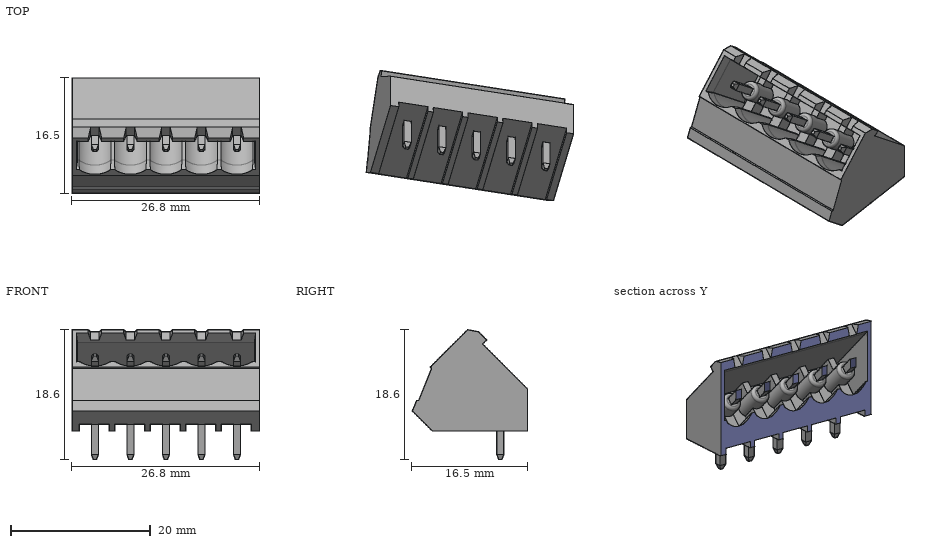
import cadquery as cq
import math

ROOT2 = math.sqrt(2)

housing_length = 26.8
position_count = 5
row_length = 20.31
pitch = row_length / (position_count - 1)
position_xs = [(i - (position_count - 1) / 2) * pitch for i in range(position_count)]

back_height = 6.0
slope_run = 6.43
lip_step = 0.6
lip_run = 1.18
rim_top_y = -8.58
rim_top_z = 14.5
rim_run = 5.35
front_top_y = -13.75
front_top_z = 8.95
ledge_z = 4.4
ledge_inner_y = -15.6
ledge_outer_y = -15.87
nose_y = -16.5
nose_z = 2.87

pin_width = 1.05
pin_tip_width = 0.45
pin_tip_length = 0.75
pin_leg_y = -3.9
pin_bottom_z = -4.1
pin_bend_z = 4.4
bend_to_rim = ((rim_top_z - rim_top_y) - (pin_bend_z - pin_leg_y)) / ROOT2
pin_tip_depth = 1.29
tip_taper = math.degrees(math.atan((pin_width - pin_tip_width) / 2 / pin_tip_length))

pocket_depth = 11.25
pocket_length = 25.27
pocket_top = 2.97
pocket_bottom = -2.39
lead_in_depth = 1.77
lead_in_growth = 0.2

scallop_radius = 3.03
scallop_center = -0.4
scallop_growth = 0.08

boss_diameter = 2.75
boss_top_depth = 6.35
boss_round = 0.48
rib_height = 2.57
upper_rib_width = 1.02
lower_rib_width = 1.5
rib_shift = -0.095

notch_depth = 1.29
notch_floor_width = 1.2
notch_rim_width = 1.93

channel_width = 4.25
channel_height = 0.95


def mating_plane(depth=0.0, x=0.0):
    """Plane parallel to the mating face, with its origin on the row of pin axes."""
    reach = (bend_to_rim - depth) / ROOT2
    origin = (x, pin_leg_y - reach, pin_bend_z + reach)
    return cq.Plane(origin=origin, xDir=(1, 0, 0), normal=(0, -1, 1))


def make_body():
    """Solid block with the housing side outline along its whole length."""
    lip_inner = (-slope_run, back_height + slope_run)
    lip_outer = (lip_inner[0] + lip_step, lip_inner[1] + lip_step)
    outline = [
        (0, 0),
        (0, back_height),
        lip_inner,
        lip_outer,
        (lip_outer[0] - lip_run, lip_outer[1] + lip_run),
        (rim_top_y, rim_top_z),
        (rim_top_y - rim_run, rim_top_z - rim_run),
        (front_top_y, front_top_z),
        (ledge_inner_y, ledge_z),
        (ledge_outer_y, ledge_z),
        (nose_y, nose_z),
        (nose_y + nose_z, 0),
    ]
    return cq.Workplane("YZ").polyline(outline).close().extrude(housing_length / 2, both=True)


def make_plain_pocket():
    """Rectangular pocket with straight walls up to a lead-in that flares to the mating face."""
    middle = (pocket_top + pocket_bottom) / 2
    height = pocket_top - pocket_bottom
    straight = (
        cq.Workplane(mating_plane(pocket_depth))
        .center(0, middle)
        .rect(pocket_length, height)
        .extrude(pocket_depth - lead_in_depth)
    )
    flare = (
        cq.Workplane(mating_plane(lead_in_depth))
        .center(0, middle)
        .rect(pocket_length, height)
        .workplane(offset=lead_in_depth)
        .rect(pocket_length + 2 * lead_in_growth, height + 2 * lead_in_growth)
        .loft(ruled=True)
    )
    return straight.union(flare)


def make_scallop(x):
    """Round channel with a flared mouth, kept only below the flat lower wall of the pocket."""
    straight = (
        cq.Workplane(mating_plane(pocket_depth, x))
        .center(0, scallop_center)
        .circle(scallop_radius)
        .extrude(pocket_depth - lead_in_depth)
    )
    flare = (
        cq.Workplane(mating_plane(lead_in_depth, x))
        .center(0, scallop_center)
        .circle(scallop_radius)
        .workplane(offset=lead_in_depth)
        .circle(scallop_radius + scallop_growth)
        .loft(ruled=True)
    )
    side = 4 * scallop_radius
    below_wall = (
        cq.Workplane(mating_plane(pocket_depth, x))
        .center(0, pocket_bottom - side / 2)
        .rect(side, side)
        .extrude(pocket_depth)
    )
    return straight.union(flare).intersect(below_wall)


def make_boss(x):
    """Round post around the pin, with a rounded top edge."""
    return (
        cq.Workplane(mating_plane(pocket_depth, x))
        .circle(boss_diameter / 2)
        .extrude(pocket_depth - boss_top_depth)
        .faces(cq.selectors.DirectionMinMaxSelector(cq.Vector(0, -1, 1)))
        .edges()
        .fillet(boss_round)
    )


def make_ribs(x):
    """Ribs that run from the boss to the upper and lower pocket walls."""
    floor = cq.Workplane(mating_plane(pocket_depth, x + rib_shift))
    scallop_bottom = scallop_center - scallop_radius
    upper = floor.center(0, pocket_top / 2).rect(upper_rib_width, pocket_top).extrude(rib_height)
    lower = (
        floor.center(0, scallop_bottom / 2)
        .rect(lower_rib_width, -scallop_bottom)
        .extrude(rib_height)
    )
    return upper.union(lower)


def make_pocket():
    """The whole mating cavity, with the bosses and ribs left standing on its floor."""
    pocket = make_plain_pocket()
    for x in position_xs:
        pocket = pocket.union(make_scallop(x))
    for x in position_xs:
        pocket = pocket.cut(make_boss(x)).cut(make_ribs(x))
    return pocket


def make_notch(x):
    """Flared notch cut from the mating face, running out through the upper wall."""
    run = 2 * pocket_top
    outline = [
        (-notch_floor_width / 2, -notch_depth),
        (notch_floor_width / 2, -notch_depth),
        (notch_rim_width / 2, 0),
        (-notch_rim_width / 2, 0),
    ]
    across = cq.Plane(origin=mating_plane(0, x).origin, xDir=(1, 0, 0), normal=(0, -1, -1))
    return cq.Workplane(across).polyline(outline).close().extrude(-run)


def make_channel(x):
    """Channel across the underside, leaving a foot on either side of it."""
    return (
        cq.Workplane("XY")
        .box(channel_width, -nose_y, channel_height, centered=(True, False, False))
        .translate((x + rib_shift, nose_y, 0))
    )


def make_pin_tip(plane):
    """Tapered square end that grows from the given plane."""
    return cq.Workplane(plane).rect(pin_width, pin_width).extrude(pin_tip_length, taper=tip_taper)


def make_pin(x):
    """Square bent pin with a vertical leg, a leg tilted 45 degrees and tapered ends."""
    half = pin_width / 2
    leg_end_z = pin_bottom_z + pin_tip_length
    shoulder = mating_plane(pin_tip_depth + pin_tip_length, x)
    miter_rise = half * (ROOT2 - 1)
    offset = half / ROOT2
    outline = [
        (pin_leg_y + half, leg_end_z),
        (pin_leg_y + half, pin_bend_z + miter_rise),
        (shoulder.origin.y + offset, shoulder.origin.z + offset),
        (shoulder.origin.y - offset, shoulder.origin.z - offset),
        (pin_leg_y - half, pin_bend_z - miter_rise),
        (pin_leg_y - half, leg_end_z),
    ]
    shank = (
        cq.Workplane("YZ", origin=(x, 0, 0)).polyline(outline).close().extrude(half, both=True)
    )
    leg_end = cq.Plane(origin=(x, pin_leg_y, leg_end_z), xDir=(1, 0, 0), normal=(0, 0, -1))
    return shank.union(make_pin_tip(shoulder)).union(make_pin_tip(leg_end))


def make_housing(pins):
    """Body with its cavity, notches, channels and a matching hole for every pin."""
    housing = make_body().cut(make_pocket())
    for x in position_xs:
        housing = housing.cut(make_notch(x)).cut(make_channel(x))
    for pin in pins:
        housing = housing.cut(pin)
    return housing


pins = [make_pin(x) for x in position_xs]
housing = make_housing(pins)

result = cq.Compound.makeCompound([housing.solids().val(), *[pin.solids().val() for pin in pins]])